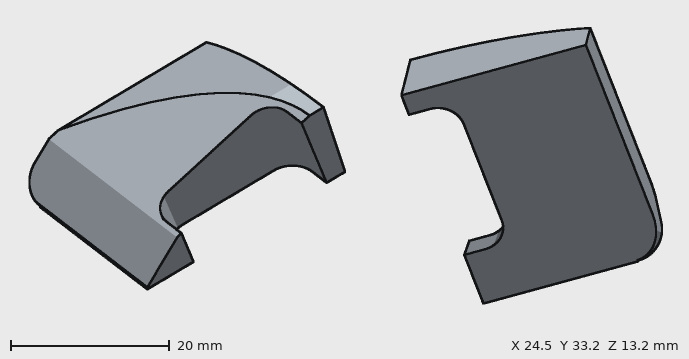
import cadquery as cq
import math

width = 24.5
length = 33.25
height = 13.23

lip_height = 0.33
crest_y = 5.05
crest_z = 5.9
crest_radius = 0.33
top_front_y = 27.25
top_back_y = 29.62

crown_edge_z = 6.38

notch_depth = 6.1
notch_front_y = 5.75
notch_back_y = 25.9
notch_radius = 3.32

corner_radius = 4.0
corner_start_y = 2.63

top_slope = (height - crest_z) / (top_front_y - crest_y)
top_angle = math.atan(top_slope)
front_angle = math.atan((crest_z - lip_height) / crest_y)


def make_body():
    """Side profile extruded over the full width, with the crest rounded."""
    profile = [
        (0, 0),
        (length, 0),
        (top_back_y, height),
        (top_front_y, height),
        (crest_y, crest_z),
        (0, lip_height),
    ]
    blank = cq.Workplane("YZ").polyline(profile).close().extrude(width)
    crest_middle = (width / 2, crest_y, crest_z)
    return blank.edges(cq.selectors.NearestToPointSelector(crest_middle)).fillet(crest_radius)


def make_crown():
    """Volume under the crown arc, running the full length."""
    drop = height - crown_edge_z
    radius = (width**2 + drop**2) / (2 * drop)
    half_angle = math.asin(width / radius) / 2
    arc_middle = (
        width - radius * math.sin(half_angle),
        height - radius * (1 - math.cos(half_angle)),
    )
    return (
        cq.Workplane("XZ")
        .lineTo(0, crown_edge_z)
        .threePointArc(arc_middle, (width, height))
        .lineTo(width, 0)
        .close()
        .extrude(-length)
    )


def face_plane(x, y, z, angle):
    """Plane on a face that rises toward +Y; its local Y runs up the slope."""
    normal = (0, -math.sin(angle), math.cos(angle))
    return cq.Plane(origin=(x, y, z), xDir=(1, 0, 0), normal=normal)


def make_notch():
    """Through cutter with rounded inner corners, open toward +X."""
    middle_y = (notch_front_y + notch_back_y) / 2
    middle_z = crest_z + top_slope * (middle_y - crest_y)
    notch_length = (notch_back_y - notch_front_y) / math.cos(top_angle)
    plane = face_plane(width, middle_y, middle_z, top_angle)
    return (
        cq.Workplane(plane)
        .rect(2 * notch_depth, notch_length)
        .extrude(length, both=True)
        .edges(cq.selectors.ParallelDirSelector(plane.zDir))
        .fillet(notch_radius)
    )


def make_corner_cutter():
    """Material outside the quarter round at the lower -X corner."""
    start_z = lip_height + corner_start_y * math.tan(front_angle)
    near = corner_radius * (1 - math.sqrt(0.5))
    far = corner_radius * math.sqrt(0.5)
    return (
        cq.Workplane(face_plane(0, corner_start_y, start_z, front_angle))
        .threePointArc((near, -far), (corner_radius, -corner_radius))
        .lineTo(corner_radius, -2 * corner_radius)
        .lineTo(0, -2 * corner_radius)
        .close()
        .extrude(length, both=True)
    )


result = make_body().intersect(make_crown()).cut(make_notch()).cut(make_corner_cutter())